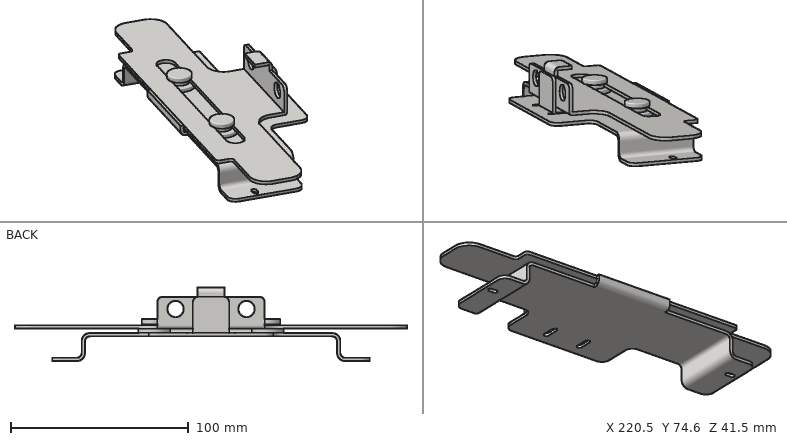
import cadquery as cq

SHEET = 2.0
INNER_BEND = 1.0
OUTER_BEND = INNER_BEND + SHEET

BASE_LENGTH = 178.5
STRIP_DEPTH = 45.0
BASE_TOP = 15.9
LEG_OUTER_X = 72.8
LEG_INNER_BEND = 2.6
LEG_OUTER_BEND = LEG_INNER_BEND + SHEET
BASE_CORNER = 5.0
TONGUE_WIDTH = 70.0
TONGUE_REAR_Y = 47.6
LIP_WIDTH = 50.0
LIP_FRONT_Y = -27.0
FOOT_SLOT_LENGTH = 6.0
FOOT_SLOT_WIDTH = 3.0
FOOT_SLOT_X = 83.8
FOOT_SLOT_Y = -5.5

STOP_WIDTH = 20.3
STOP_CORNER = 2.9
RELIEF_WIDTH = 3.0
RELIEF_REAR_Y = 41.0

PLATE_LENGTH = 220.5
PLATE_GAP = 2.5
PLATE_BOTTOM = BASE_TOP + PLATE_GAP
PLATE_TOP = PLATE_BOTTOM + SHEET
PLATE_FRONT_Y = LIP_FRONT_Y + SHEET
ARM_DEPTH = 30.6
ARM_CORNER = 10.0
APRON_WIDTH = 149.3
APRON_CORNER = 2.0

TAB_WIDTH = 60.5
TAB_REAR_Y = 35.7
TAB_TOP = 36.2
TAB_CORNER = 2.9
TAB_ROOT_BEND = 1.8
TAB_HOLE_DIAMETER = 9.0
TAB_HOLE_SPACING = 40.0
TAB_HOLE_Z = 29.3
HOOK_WIDTH = 15.5
HOOK_FRONT_Y = 25.1
HOOK_TOP = 41.5

KNOB_SPACING = 64.0
KNOB_Y = -4.6
SLOT_LENGTH = 115.3
SLOT_WIDTH = 10.8
FLANGE_DIAMETER = 18.0
HEAD_DIAMETER = 14.1
HEAD_CLEARANCE = 0.5
HEAD_HEIGHT = 3.0
FLANGE_ROUND = 0.5
HEAD_ROUND = 0.7


def make_strip():
    """Top-hat strip with bent legs and round-cornered feet, each with one slot."""
    foot_end = BASE_LENGTH / 2
    leg_inner = LEG_OUTER_X - SHEET
    strip_bottom = BASE_TOP - SHEET
    strip = (
        cq.Workplane("XZ")
        .moveTo(0, BASE_TOP)
        .lineTo(LEG_OUTER_X - LEG_OUTER_BEND, BASE_TOP)
        .tangentArcPoint((LEG_OUTER_X, BASE_TOP - LEG_OUTER_BEND), relative=False)
        .lineTo(LEG_OUTER_X, SHEET + LEG_INNER_BEND)
        .tangentArcPoint((LEG_OUTER_X + LEG_INNER_BEND, SHEET), relative=False)
        .lineTo(foot_end, SHEET)
        .lineTo(foot_end, 0)
        .lineTo(leg_inner + LEG_OUTER_BEND, 0)
        .tangentArcPoint((leg_inner, LEG_OUTER_BEND), relative=False)
        .lineTo(leg_inner, strip_bottom - LEG_INNER_BEND)
        .tangentArcPoint((leg_inner - LEG_INNER_BEND, strip_bottom), relative=False)
        .lineTo(0, strip_bottom)
        .mirrorY()
        .extrude(STRIP_DEPTH / 2, both=True)
    )
    strip = strip.faces("<X or >X").edges("|Z").fillet(BASE_CORNER)
    foot_slots = (
        cq.Workplane("XY")
        .pushPoints([(-FOOT_SLOT_X, FOOT_SLOT_Y), (FOOT_SLOT_X, FOOT_SLOT_Y)])
        .slot2D(FOOT_SLOT_LENGTH, FOOT_SLOT_WIDTH)
        .extrude(SHEET)
    )
    return strip.cut(foot_slots)


def make_tongue():
    """Flat rear tongue of the base, flared where it leaves the strip."""
    strip_rear = STRIP_DEPTH / 2
    side = TONGUE_WIDTH / 2
    return (
        cq.Workplane("XY", origin=(0, 0, BASE_TOP - SHEET))
        .moveTo(0, strip_rear)
        .lineTo(side + BASE_CORNER, strip_rear)
        .radiusArc((side, strip_rear + BASE_CORNER), BASE_CORNER)
        .lineTo(side, TONGUE_REAR_Y - BASE_CORNER)
        .radiusArc((side - BASE_CORNER, TONGUE_REAR_Y), -BASE_CORNER)
        .lineTo(0, TONGUE_REAR_Y)
        .mirrorY()
        .extrude(SHEET)
    )


def make_lip():
    """Front lip of the base, bent up to the top of the slide plate."""
    strip_front = -STRIP_DEPTH / 2
    strip_bottom = BASE_TOP - SHEET
    lip_rear = LIP_FRONT_Y + SHEET
    return (
        cq.Workplane("YZ")
        .moveTo(strip_front, strip_bottom)
        .lineTo(LIP_FRONT_Y + OUTER_BEND, strip_bottom)
        .tangentArcPoint((LIP_FRONT_Y, strip_bottom + OUTER_BEND), relative=False)
        .lineTo(LIP_FRONT_Y, PLATE_TOP)
        .lineTo(lip_rear, PLATE_TOP)
        .lineTo(lip_rear, BASE_TOP + INNER_BEND)
        .tangentArcPoint((lip_rear + INNER_BEND, BASE_TOP), relative=False)
        .lineTo(strip_front, BASE_TOP)
        .close()
        .extrude(LIP_WIDTH / 2, both=True)
    )


def make_stop():
    """Upright on the base that stands against the rear of the slide plate's tab."""
    stop_bottom = BASE_TOP - SHEET
    return (
        cq.Workplane("XY", origin=(0, TAB_REAR_Y, stop_bottom))
        .box(STOP_WIDTH, SHEET, TAB_TOP - stop_bottom, centered=(True, False, False))
        .edges("|Y and >Z")
        .fillet(STOP_CORNER)
    )


def make_relief_slots():
    """Cutters for the round-ended slots beside the stop."""
    slot_length = 2 * (RELIEF_REAR_Y - TAB_REAR_Y)
    offset = (STOP_WIDTH + RELIEF_WIDTH) / 2
    return (
        cq.Workplane("XY", origin=(0, TAB_REAR_Y, BASE_TOP - SHEET))
        .pushPoints([(-offset, 0), (offset, 0)])
        .slot2D(slot_length, RELIEF_WIDTH, 90)
        .extrude(SHEET)
    )


def make_base():
    body = make_strip().union(make_tongue()).union(make_lip())
    return body.cut(make_relief_slots()).union(make_stop())


def make_plate_sheet():
    """Flat part of the slide plate: two arms, a front apron and the rounded root of the rear tab."""
    arm_end = PLATE_LENGTH / 2
    arm_edge = ARM_DEPTH / 2
    apron_side = APRON_WIDTH / 2
    tab_side = TAB_WIDTH / 2
    return (
        cq.Workplane("XY", origin=(0, 0, PLATE_BOTTOM))
        .moveTo(0, PLATE_FRONT_Y)
        .lineTo(apron_side - APRON_CORNER, PLATE_FRONT_Y)
        .radiusArc((apron_side, PLATE_FRONT_Y + APRON_CORNER), -APRON_CORNER)
        .lineTo(apron_side, -arm_edge - APRON_CORNER)
        .radiusArc((apron_side + APRON_CORNER, -arm_edge), APRON_CORNER)
        .lineTo(arm_end - ARM_CORNER, -arm_edge)
        .radiusArc((arm_end, -arm_edge + ARM_CORNER), -ARM_CORNER)
        .lineTo(arm_end, arm_edge - ARM_CORNER)
        .radiusArc((arm_end - ARM_CORNER, arm_edge), -ARM_CORNER)
        .lineTo(tab_side + ARM_CORNER, arm_edge)
        .radiusArc((tab_side, arm_edge + ARM_CORNER), ARM_CORNER)
        .lineTo(tab_side, TAB_REAR_Y)
        .lineTo(0, TAB_REAR_Y)
        .mirrorY()
        .extrude(SHEET)
        .faces(">Y")
        .edges("<Z")
        .fillet(TAB_ROOT_BEND)
    )


def make_tab():
    """Upright rear tab with round top corners and two holes."""
    tab = (
        cq.Workplane("XY", origin=(0, TAB_REAR_Y, PLATE_TOP))
        .box(TAB_WIDTH, SHEET, TAB_TOP - PLATE_TOP, centered=(True, False, False))
        .translate((0, -SHEET, 0))
        .edges("|Y and >Z")
        .fillet(TAB_CORNER)
    )
    holes = (
        cq.Workplane("XZ", origin=(0, TAB_REAR_Y, TAB_HOLE_Z))
        .pushPoints([(-TAB_HOLE_SPACING / 2, 0), (TAB_HOLE_SPACING / 2, 0)])
        .circle(TAB_HOLE_DIAMETER / 2)
        .extrude(SHEET)
    )
    return tab.cut(holes)


def make_hook():
    """Narrow strip above the tab, bent forward with a sharp inside corner."""
    tab_front = TAB_REAR_Y - SHEET
    hook_bottom = HOOK_TOP - SHEET
    return (
        cq.Workplane("YZ")
        .moveTo(TAB_REAR_Y, TAB_TOP)
        .lineTo(TAB_REAR_Y, HOOK_TOP - OUTER_BEND)
        .tangentArcPoint((TAB_REAR_Y - OUTER_BEND, HOOK_TOP), relative=False)
        .lineTo(HOOK_FRONT_Y, HOOK_TOP)
        .lineTo(HOOK_FRONT_Y, hook_bottom)
        .lineTo(tab_front, hook_bottom)
        .lineTo(tab_front, TAB_TOP)
        .close()
        .extrude(HOOK_WIDTH / 2, both=True)
    )


def make_slide_plate():
    slot = (
        cq.Workplane("XY", origin=(0, KNOB_Y, PLATE_BOTTOM))
        .slot2D(SLOT_LENGTH, SLOT_WIDTH)
        .extrude(SHEET)
    )
    return make_plate_sheet().cut(slot).union(make_tab()).union(make_hook())


def make_knob(x):
    """Flange under the plate, neck through the slot and head just clear of its top, all coaxial."""
    flange = (
        cq.Workplane("XY", origin=(x, KNOB_Y, BASE_TOP))
        .circle(FLANGE_DIAMETER / 2)
        .extrude(PLATE_GAP)
        .edges()
        .fillet(FLANGE_ROUND)
    )
    head_bottom = PLATE_TOP + HEAD_CLEARANCE
    neck = (
        cq.Workplane("XY", origin=(x, KNOB_Y, BASE_TOP))
        .circle(SLOT_WIDTH / 2)
        .extrude(head_bottom - BASE_TOP)
    )
    head = (
        cq.Workplane("XY", origin=(x, KNOB_Y, head_bottom))
        .circle(HEAD_DIAMETER / 2)
        .extrude(HEAD_HEIGHT)
        .edges()
        .fillet(HEAD_ROUND)
    )
    return flange.union(neck).union(head)


base = make_base()
slide_plate = make_slide_plate()
knobs = [make_knob(x) for x in (-KNOB_SPACING / 2, KNOB_SPACING / 2)]

result = cq.Compound.makeCompound(
    [base.val(), slide_plate.val(), *[knob.val() for knob in knobs]]
)